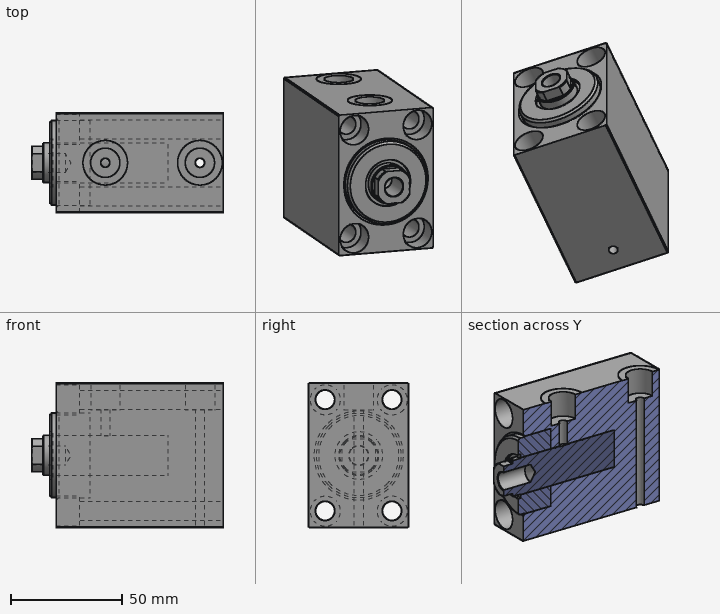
import cadquery as cq
import math

BLOCK_LENGTH = 75.0
BLOCK_WIDTH = 45.0
BLOCK_HEIGHT = 65.0
BLOCK_CHAMFER = 0.5

MOUNT_SPACING_Y = 30.0
MOUNT_SPACING_Z = 50.0
MOUNT_DIAMETER = 8.5
MOUNT_BORE_DIAMETER = 13.5
MOUNT_BORE_DEPTH = 10.3

FRONT_PORT_X = 22.0
REAR_PORT_X = 64.5
SPOTFACE_DIAMETER = 20.0
SPOTFACE_DEPTH = 0.1
PORT_DIAMETER = 13.2
PORT_DEPTH = 12.0
OIL_HOLE_DIAMETER = 4.0

CAP_DIAMETER = 38.0
CAP_PROJECTION = 3.0
CAP_INSERT_DEPTH = 15.0
CAP_CHAMFER = 1.0
SOCKET_CHAMFER = 1.0
RECESS_DIAMETER = 21.4
RECESS_DEPTH = 1.5

ROD_DIAMETER = 18.0
ROD_PROJECTION = 3.0
ROD_END_X = 50.0
ROD_CHAMFER = 0.5
TIP_LENGTH = 5.0
TIP_CHAMFER = 0.3
TIP_ACROSS_FLATS = 15.0
TIP_DIAMETER = ROD_DIAMETER - 2 * ROD_CHAMFER

DRILL_DIAMETER = 8.5
DRILL_DEPTH = 15.0
DRILL_CHAMFER = 0.3
DRILL_POINT_ANGLE = 118.0

CAP_FACE_X = -CAP_PROJECTION
SHANK_FACE_X = CAP_FACE_X - ROD_PROJECTION
TIP_FACE_X = SHANK_FACE_X - TIP_LENGTH


def cylinder_x(diameter, start_x, end_x):
    """Cylinder on the X axis between two X positions."""
    return cq.Workplane("YZ", origin=(start_x, 0, 0)).circle(diameter / 2).extrude(end_x - start_x)


def cylinder_down(diameter, x, depth):
    """Cylinder going down from the top face of the block."""
    return cq.Workplane("XY", origin=(x, 0, BLOCK_HEIGHT / 2)).circle(diameter / 2).extrude(-depth)


def revolve_about_x(profile):
    """Solid of revolution about the X axis from (x, radius) points."""
    return cq.Workplane("XY").polyline(profile).close().revolve(360, (0, 0, 0), (1, 0, 0))


def cut_mounting_holes(block):
    return (
        block.faces("<X")
        .workplane(origin=(0, 0, 0))
        .rect(MOUNT_SPACING_Y, MOUNT_SPACING_Z, forConstruction=True)
        .vertices()
        .cboreHole(MOUNT_DIAMETER, MOUNT_BORE_DIAMETER, MOUNT_BORE_DEPTH)
    )


def cut_port(block, x, oil_hole_depth):
    """Shallow spotface, plain round port, and small oil hole on one vertical axis."""
    block = block.cut(cylinder_down(SPOTFACE_DIAMETER, x, SPOTFACE_DEPTH))
    block = block.cut(cylinder_down(PORT_DIAMETER, x, PORT_DEPTH))
    return block.cut(cylinder_down(OIL_HOLE_DIAMETER, x, oil_hole_depth))


def cut_cap_socket(block):
    """Round socket in the front face, with a chamfered mouth."""
    socket = cylinder_x(CAP_DIAMETER, 0, CAP_INSERT_DEPTH)
    radius = CAP_DIAMETER / 2
    mouth_profile = [
        (0, 0),
        (0, radius + SOCKET_CHAMFER),
        (SOCKET_CHAMFER, radius),
        (SOCKET_CHAMFER, 0),
    ]
    mouth = revolve_about_x(mouth_profile)
    return block.cut(socket).cut(mouth)


def make_housing():
    block = cq.Workplane("XY").box(BLOCK_LENGTH, BLOCK_WIDTH, BLOCK_HEIGHT, centered=(False, True, True))
    block = block.edges("|X").chamfer(BLOCK_CHAMFER)
    block = cut_mounting_holes(block)
    block = cut_cap_socket(block)
    block = cut_port(block, FRONT_PORT_X, BLOCK_HEIGHT / 2)
    block = cut_port(block, REAR_PORT_X, BLOCK_HEIGHT)
    return block.cut(cylinder_x(ROD_DIAMETER, 0, ROD_END_X))


def make_cap():
    cap = cylinder_x(CAP_DIAMETER, CAP_FACE_X, CAP_INSERT_DEPTH)
    cap = cap.faces("<X").chamfer(CAP_CHAMFER)
    cap = cap.cut(cylinder_x(RECESS_DIAMETER, CAP_FACE_X, CAP_FACE_X + RECESS_DEPTH))
    return cap.cut(cylinder_x(ROD_DIAMETER, CAP_FACE_X, CAP_INSERT_DEPTH))


def make_rod_tip():
    """Round tip with a chamfered end, cut down to a square with rounded corners."""
    tip = cylinder_x(TIP_DIAMETER, TIP_FACE_X, SHANK_FACE_X)
    tip = tip.faces("<X").chamfer(TIP_CHAMFER)
    flats = cq.Workplane("YZ", origin=(TIP_FACE_X, 0, 0)).rect(TIP_ACROSS_FLATS, TIP_ACROSS_FLATS)
    return tip.intersect(flats.extrude(TIP_LENGTH))


def make_drilled_hole():
    """Revolved shape of the blind hole: chamfered mouth, bore and drill point."""
    radius = DRILL_DIAMETER / 2
    bore_end_x = TIP_FACE_X + DRILL_DEPTH
    point_length = radius / math.tan(math.radians(DRILL_POINT_ANGLE / 2))
    profile = [
        (TIP_FACE_X, 0),
        (TIP_FACE_X, radius + DRILL_CHAMFER),
        (TIP_FACE_X + DRILL_CHAMFER, radius),
        (bore_end_x, radius),
        (bore_end_x + point_length, 0),
    ]
    return revolve_about_x(profile)


def make_rod():
    shank = cylinder_x(ROD_DIAMETER, SHANK_FACE_X, ROD_END_X)
    shank = shank.faces("<X").chamfer(ROD_CHAMFER)
    return shank.union(make_rod_tip()).cut(make_drilled_hole())


housing = make_housing()
cap = make_cap()
rod = make_rod()

result = cq.Compound.makeCompound([housing.val(), cap.val(), rod.val()])